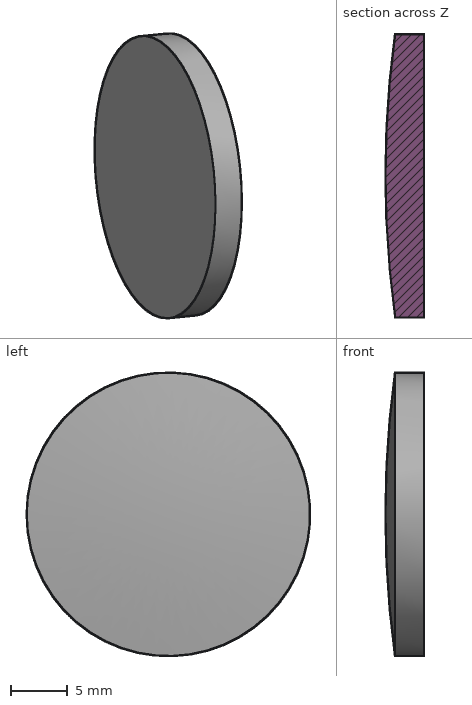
import cadquery as cq

diameter = 25.0
center_thickness = 3.43
edge_thickness = 2.58

radius = diameter / 2
sag = center_thickness - edge_thickness
sphere_radius = (radius**2 + sag**2) / (2 * sag)

mid_height = radius / 2
mid_depth = sphere_radius - (sphere_radius**2 - mid_height**2) ** 0.5


def make_lens():
    """Revolve the half section about X; the convex vertex sits at the origin."""
    half_section = (
        cq.Workplane("XY")
        .moveTo(0, 0)
        .threePointArc((mid_depth, mid_height), (sag, radius))
        .lineTo(center_thickness, radius)
        .lineTo(center_thickness, 0)
        .close()
    )
    return half_section.revolve(360, (0, 0, 0), (1, 0, 0))


result = make_lens()